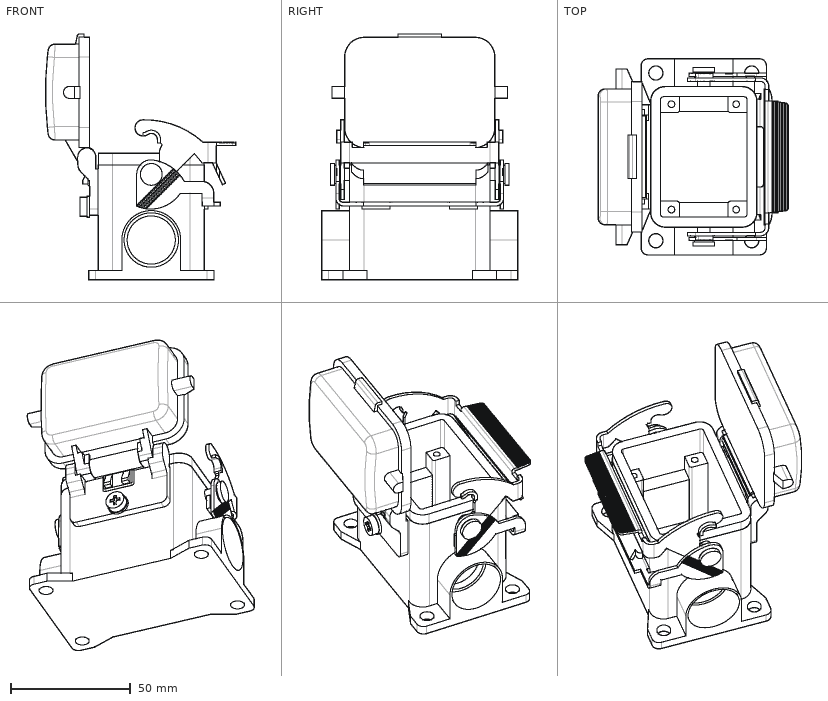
import cadquery as cq
import math

base_length, base_width, base_thickness = 52.4, 82.0, 4.0
base_corner_radius = 3.0
foot_outer_y, foot_inner_y = 32.0, 22.1
mount_hole_radius, mount_hole_x, mount_hole_y = 2.9, 20.0, 35.0
housing_half_x, housing_half_y, housing_top = 22.2, 29.4, 52.9
housing_corner_radius = 6.1
rim_bottom, rim_inset = 48.0, 0.12
cavity_half_x, cavity_half_y, cavity_corner_radius = 18.05, 25.1, 1.2
wall_overlap = 1.0
boss_size_x, boss_inner_y, boss_top, boss_corner_radius = 7.9, 18.5, 38.0, 1.0
boss_hole_x, boss_hole_y, boss_hole_radius, boss_hole_depth = 13.5, 22.0, 1.4, 10.0
shelf_inner_y, shelf_top = 19.0, 30.0
port_radius, port_center_z = 12.3, 16.65
port_bore_radius, port_bore_depth = 11.35, 13.3
port_inner_radius, port_inner_depth = 10.05, 17.0

lid_center_z, lid_cap_center_z = 78.27, 78.42
lid_front_x, lid_rim_x, lid_crown_x = -25.75, -30.1, -44.23
lid_rim_height, lid_rim_width, lid_rim_radius = 46.1, 62.8, 8.3
lid_cap_height, lid_cap_width, lid_cap_radius = 40.1, 56.8, 5.6
lid_crown_rise, lid_edge_radius = 1.5, 3.0
lid_pin_radius, lid_pin_center_x, lid_pin_half_length = 2.5, -34.15, 36.7
lid_pin_front_x, lid_pin_taper_x = -29.65, -32.0
tab_half_width, tab_top, tab_front_x, tab_round = 9.1, 102.73, -28.0, 1.2
tab_thickness, tab_lean = 3.0, 0.7

bracket_x, bracket_bottom, bracket_top = -25.7, 26.9, 46.35
bracket_half_width, bracket_corner_radius = 21.85, 2.8
arm_radius, hinge_x, hinge_z = 3.8, -26.9, 51.3
arm_inner_y, arm_foot_inner_y, arm_foot_bottom = 17.5, 15.2, 40.0
arm_foot_top, arm_step_y, arm_step_drop = 47.2, 19.7, 0.7
arm_back_bend_z, arm_slope_top, arm_slope_bottom = 48.3, 45.0, 42.2
arm_slope_angle = math.radians(45)
lug_reach, lug_toe = 5.85, 1.3
lug_outer_y, lug_step_y, lug_inner_y = 17.0, 15.0, 11.0
lug_notch_y, lug_notch_x, lug_notch_bottom = 13.0, -31.65, 50.9
lug_front_x, lug_bottom, lug_step_z, lug_slope_end = -24.4, 47.3, 55.5, 49.3
barrel_radius, hinge_pin_radius = 4.0, 2.9
pad_half_width, pad_bottom, pad_x, pad_radius, pad_chamfer = 7.05, 39.0, -26.5, 1.2, 0.7
catch_inner_y, catch_outer_y = 2.5, 5.5
catch_tip_x, catch_bottom, catch_top = -28.7, 40.0, 46.3
catch_ramp_z = 41.3
screw_z, screw_head_radius, screw_head_x = 30.55, 4.05, -29.8
washer_radius, washer_x = 4.4, -26.8
recess_length, recess_width, recess_depth = 4.4, 1.2, 1.2

pivot_z, pivot_radius = 44.05, 2.6
pivot_head_radius, pivot_head_inner_y, pivot_head_outer_y = 4.55, 35.5, 37.3
pivot_collar_radius = 3.9
lever_inner_y, lever_outer_y = 31.5, 33.0
lever_top, lever_bottom = 57.5, 48.9
hook_x, hook_z = -3.4, 63.45
notch_radius, notch_z = 2.5, 58.6
lip_thickness, lip_outer_y = 1.4, 34.7
lip_bottom = 57.1
lever_back_arc_point, lever_back_end = (10.7, 64.3), (21.6, lever_top)
lever_notch_x, lever_notch_top = 21.2, (18.0, 52.7)
lever_neck_top, lever_neck_waist, lever_neck_bottom = (4.5, 56.5), (3.4, 54.1), (3.4, 49.1)
lever_toe_left_x, lever_toe_right_x, lever_toe_bottom = -5.5, 3.0, 33.5
lever_toe_left_top, lever_toe_right_top = 40.0, 37.7
cross_outer_x, cross_thickness, cross_bend_radius = 27.2, 1.6, 3.6
handle_tip_x, handle_thickness = 35.35, 1.4
handle_root_half_width, handle_tip_half_width, handle_tip_radius = 23.4, 22.4, 1.6
grip_bend_radius = 1.3
slot_outer_y, slot_depth = 28.1, 2.2
groove_count, groove_pitch, groove_width, groove_depth = 7, 1.0, 0.45, 0.3
first_groove_x = 28.4
leaf_thickness, leaf_root_x, leaf_root_z = 1.5, 25.2, 49.4
leaf_tip_x, leaf_tip_z = 29.7, 39.7
leaf_root_half_width, leaf_half_width, leaf_shoulder_x = 28.4, 23.4, 28.5
leaf_shoulder_arc_x, leaf_shoulder_arc_y = 28.2, 26.0

latch_inner_y, latch_outer_y = 33.6, 35.0
latch_round_radius = 6.1
latch_ledge_top, latch_ledge_bottom = 41.1, 36.1
latch_shoulder_arc_point, latch_shoulder_x = (9.4, 46.3), 13.8
latch_elbow_start_x, latch_elbow_arc_point = 22.1, (24.9, 39.4)
latch_belly_start_x, latch_belly_arc_point, latch_belly_end = 12.1, (7.2, 31.6), (0.8, 29.6)
latch_heel_arc_point = (-2.8, 29.8)
latch_end_x, latch_tail_x, latch_tail_bottom = 26.15, 21.2, 30.8
ridge_count, ridge_pitch, ridge_groove_width, ridge_depth = 4, 1.13, 0.5, 0.4
ridge_offset, ridge_line_z, ridge_angle, ridge_length = 0.25, 37.25, 45, 30.0
bar_thickness, bar_tip_x, bar_tip_half_width = 1.65, 28.8, 23.4
bar_bend_radius, bar_end_overlap = 3.3, 0.5
bar_gap_half_width, bar_gap_x, bar_gap_radius = 12.5, 24.85, 1.0
bar_cutout_y, bar_leg_outer_y = 26.4, 24.1
bar_leg_x, bar_leg_bottom, bar_leg_radius = 23.75, 29.5, 1.3


def span(x0, x1, y0, y1, z0, z1):
    """Box between opposite corners."""
    return cq.Workplane("XY").box(x1 - x0, y1 - y0, z1 - z0, centered=False).translate((x0, y0, z0))


def sketch_at_y(y):
    """XZ workplane at a given Y."""
    return cq.Workplane("XZ", origin=(0, y, 0))


def rod_along_y(x, z, radius, y0, y1):
    return sketch_at_y(y0).center(x, z).circle(radius).extrude(y0 - y1)


def rod_along_x(z, radius, x0, x1):
    return cq.Workplane("YZ", origin=(x0, 0, z)).circle(radius).extrude(x1 - x0)


def rounded_block_yz(x0, x1, width, height, radius, center_z):
    """Block along X with rounded corners in the YZ plane."""
    block = cq.Workplane("YZ", origin=(x0, 0, center_z)).rect(width, height).extrude(x1 - x0)
    return block.edges("|X").fillet(radius)


def on_both_sides(shape):
    return shape.union(shape.mirror("XZ"))


def base_flange():
    half_x = base_length / 2
    flange = cq.Workplane("XY").rect(base_length, base_width).extrude(base_thickness)
    flange = flange.edges("|Z").fillet(base_corner_radius)
    for side in (-1, 1):
        waist = (
            cq.Workplane("XY")
            .polyline([
                (side * half_x, -foot_outer_y),
                (side * housing_half_x, -foot_inner_y),
                (side * housing_half_x, foot_inner_y),
                (side * half_x, foot_outer_y),
            ])
            .close()
            .extrude(base_thickness)
        )
        flange = flange.cut(waist)
    holes = (
        cq.Workplane("XY")
        .rect(2 * mount_hole_x, 2 * mount_hole_y, forConstruction=True)
        .vertices()
        .circle(mount_hole_radius)
        .extrude(base_thickness)
    )
    return flange.cut(holes)


def housing_prism(inset, z0, z1):
    prism = cq.Workplane("XY", origin=(0, 0, z0)).rect(
        2 * (housing_half_x - inset), 2 * (housing_half_y - inset)
    )
    return prism.extrude(z1 - z0).edges("|Z").fillet(housing_corner_radius - inset)


def corner_boss():
    """Insert mounting boss in one cavity corner, with its screw hole."""
    inner_x = cavity_half_x - boss_size_x
    boss = span(
        inner_x, cavity_half_x + wall_overlap, boss_inner_y, cavity_half_y + wall_overlap,
        base_thickness, boss_top,
    )
    boss = boss.edges("|Z and <X and <Y").fillet(boss_corner_radius)
    hole = (
        cq.Workplane("XY", origin=(boss_hole_x, boss_hole_y, boss_top))
        .circle(boss_hole_radius)
        .extrude(-boss_hole_depth)
    )
    return boss.cut(hole)


def cavity():
    depth = housing_top - base_thickness
    pocket = cq.Workplane("XY", origin=(0, 0, base_thickness)).rect(2 * cavity_half_x, 2 * cavity_half_y)
    pocket = pocket.extrude(depth).edges("|Z").fillet(cavity_corner_radius)
    boss = corner_boss()
    bosses = on_both_sides(boss.union(boss.mirror("YZ")))
    shelf_half_x = cavity_half_x - boss_size_x
    shelf = span(
        -shelf_half_x, shelf_half_x, shelf_inner_y, cavity_half_y + wall_overlap,
        base_thickness, shelf_top,
    )
    return pocket.cut(bosses).cut(on_both_sides(shelf))


def cable_ports():
    ports = rod_along_y(0, port_center_z, port_radius, -base_width / 2, base_width / 2)
    foot = span(-port_radius, port_radius, -base_width / 2, base_width / 2, 0, port_center_z)
    return ports.union(foot)


def port_bores():
    mouth_y = base_width / 2
    bore = rod_along_y(0, port_center_z, port_bore_radius, mouth_y - port_bore_depth, mouth_y)
    inner = rod_along_y(0, port_center_z, port_inner_radius, mouth_y - port_inner_depth, mouth_y)
    return on_both_sides(bore.union(inner))


def housing():
    body = housing_prism(0, 0, rim_bottom).union(housing_prism(rim_inset, rim_bottom, housing_top))
    body = body.union(base_flange()).union(cable_ports())
    return body.cut(cavity()).cut(port_bores())


def lid_cap():
    """Cap with a crowned outer face and a rounded edge."""
    cap = rounded_block_yz(
        lid_crown_x, lid_rim_x, lid_cap_width, lid_cap_height, lid_cap_radius, lid_cap_center_z
    )
    half_height = lid_cap_height / 2
    crown = (
        sketch_at_y(lid_cap_width / 2)
        .moveTo(lid_rim_x, lid_cap_center_z - half_height)
        .lineTo(lid_crown_x + lid_crown_rise, lid_cap_center_z - half_height)
        .threePointArc(
            (lid_crown_x, lid_cap_center_z),
            (lid_crown_x + lid_crown_rise, lid_cap_center_z + half_height),
        )
        .lineTo(lid_rim_x, lid_cap_center_z + half_height)
        .close()
        .extrude(lid_cap_width)
    )
    return cap.intersect(crown).faces("<X").edges().fillet(lid_edge_radius)


def lid_pins():
    """Locking pins through the lid, tapered at the ends towards the rim."""
    pins = rod_along_y(
        lid_pin_center_x, lid_center_z, lid_pin_radius, -lid_pin_half_length, lid_pin_half_length
    )
    pins = pins.union(span(
        lid_pin_center_x, lid_pin_front_x, -lid_pin_half_length, lid_pin_half_length,
        lid_center_z - lid_pin_radius, lid_center_z + lid_pin_radius,
    ))
    taper = (
        cq.Workplane("XY", origin=(0, 0, lid_center_z - lid_pin_radius))
        .polyline([
            (lid_pin_taper_x, lid_pin_half_length),
            (lid_pin_front_x, lid_pin_half_length),
            (lid_pin_front_x, lid_rim_width / 2),
        ])
        .close()
        .extrude(2 * lid_pin_radius)
    )
    return pins.cut(on_both_sides(taper))


def lid_tab():
    """Finger tab on the upper edge of the lid."""
    cap_top = lid_cap_center_z + lid_cap_height / 2
    rim_top = lid_center_z + lid_rim_height / 2
    tab_back_x = tab_front_x - tab_thickness
    tab = (
        sketch_at_y(tab_half_width)
        .moveTo(tab_back_x - tab_lean, cap_top)
        .lineTo(tab_back_x, tab_top - tab_round)
        .radiusArc((tab_back_x + tab_round, tab_top), tab_round)
        .lineTo(tab_front_x, tab_top)
        .lineTo(tab_front_x, rim_top)
        .lineTo(lid_rim_x, cap_top)
        .close()
    )
    return tab.extrude(2 * tab_half_width)


def lid_lug():
    """Hinge lug below the lid, with a step cut on its inner side."""
    cap_bottom = lid_cap_center_z - lid_cap_height / 2
    rim_bottom_z = lid_center_z - lid_rim_height / 2
    lug = (
        sketch_at_y(lug_outer_y)
        .polyline([
            (lid_rim_x - lug_reach, cap_bottom),
            (hinge_x - arm_radius, lug_slope_end),
            (hinge_x - arm_radius + lug_toe, lug_bottom),
            (lug_front_x, lug_bottom),
            (lug_front_x, hinge_z),
            (lid_front_x, rim_bottom_z),
            (lid_rim_x, cap_bottom),
        ])
        .close()
        .extrude(lug_outer_y - lug_inner_y)
    )
    tip_x = lid_rim_x - lug_reach
    step = span(tip_x, lid_rim_x, lug_inner_y, lug_step_y, lug_step_z, cap_bottom)
    notch = span(tip_x, lug_notch_x, lug_inner_y, lug_notch_y, lug_notch_bottom, cap_bottom)
    return lug.cut(step).cut(notch)


def lid():
    rim = rounded_block_yz(
        lid_rim_x, lid_front_x, lid_rim_width, lid_rim_height, lid_rim_radius, lid_center_z
    )
    barrel = rod_along_y(hinge_x, hinge_z, barrel_radius, -lug_outer_y, lug_outer_y)
    web = span(
        lid_rim_x, lid_front_x, -lug_outer_y, lug_outer_y,
        hinge_z, lid_center_z - lid_rim_height / 2,
    )
    clearance = span(
        lug_front_x, lug_front_x + barrel_radius, -lug_outer_y, lug_outer_y,
        hinge_z - barrel_radius, hinge_z + barrel_radius,
    )
    pin = rod_along_y(hinge_x, hinge_z, hinge_pin_radius, -bracket_half_width, bracket_half_width)
    hinge = on_both_sides(lid_lug()).union(barrel).union(web).cut(clearance).union(pin)
    return rim.union(lid_cap()).union(lid_pins()).union(lid_tab()).union(hinge)


def bracket_arm():
    """Hinge arm rounded about the hinge axis and sloping back to the bracket plate."""
    back_x, front_x = hinge_x - arm_radius, hinge_x + arm_radius
    back_radius = (arm_back_bend_z - arm_slope_top) / math.sin(arm_slope_angle)
    foot_radius = (arm_slope_bottom - arm_foot_bottom) / math.sin(arm_slope_angle)
    slope_top_x = back_x + back_radius * (1 - math.cos(arm_slope_angle))
    slope_bottom_x = bracket_x - foot_radius * (1 - math.cos(arm_slope_angle))
    arm = (
        sketch_at_y(bracket_half_width)
        .moveTo(back_x, hinge_z)
        .threePointArc((hinge_x, hinge_z + arm_radius), (front_x, hinge_z))
        .lineTo(front_x, arm_foot_bottom)
        .lineTo(bracket_x, arm_foot_bottom)
        .radiusArc((slope_bottom_x, arm_slope_bottom), -foot_radius)
        .lineTo(slope_top_x, arm_slope_top)
        .radiusArc((back_x, arm_back_bend_z), back_radius)
        .close()
        .extrude(bracket_half_width - arm_foot_inner_y)
    )
    arm_top = hinge_z + arm_radius
    relief = span(back_x, front_x, arm_foot_inner_y, arm_inner_y, arm_foot_top, arm_top)
    step = span(back_x, front_x, arm_inner_y, arm_step_y, arm_top - arm_step_drop, arm_top)
    return arm.cut(relief).cut(step)


def catch():
    """One of the two ramped catches on the bracket pad."""
    profile = (
        sketch_at_y(catch_outer_y)
        .polyline([
            (-housing_half_x, catch_bottom),
            (catch_tip_x, catch_bottom),
            (catch_tip_x, catch_ramp_z),
            (pad_x, catch_top),
            (-housing_half_x, catch_top),
        ])
        .close()
    )
    return profile.extrude(catch_outer_y - catch_inner_y)


def bracket():
    plate = span(
        bracket_x, -housing_half_x, -bracket_half_width, bracket_half_width, bracket_bottom, bracket_top
    )
    plate = plate.edges("|X and <Z").fillet(bracket_corner_radius)
    pad = span(pad_x, bracket_x, -pad_half_width, pad_half_width, pad_bottom, bracket_top)
    pad = pad.edges("|X and <Z").fillet(pad_radius).faces("<X").edges("not >Z").chamfer(pad_chamfer)
    plate = plate.union(pad)
    screw = rod_along_x(screw_z, washer_radius, washer_x, bracket_x)
    screw = screw.union(rod_along_x(screw_z, screw_head_radius, screw_head_x, bracket_x))
    slots = (
        cq.Workplane("YZ", origin=(screw_head_x, 0, screw_z))
        .rect(recess_length, recess_width)
        .extrude(recess_depth)
        .union(
            cq.Workplane("YZ", origin=(screw_head_x, 0, screw_z))
            .rect(recess_width, recess_length)
            .extrude(recess_depth)
        )
    )
    return plate.union(on_both_sides(bracket_arm().union(catch()))).union(screw.cut(slots))


def pivot():
    pin = rod_along_y(0, pivot_z, pivot_radius, cavity_half_y + wall_overlap, pivot_head_outer_y)
    collar = rod_along_y(0, pivot_z, pivot_collar_radius, lever_outer_y, pivot_head_inner_y)
    head = rod_along_y(0, pivot_z, pivot_head_radius, pivot_head_inner_y, pivot_head_outer_y)
    return pin.union(collar).union(head)


def lever_arm():
    """Side plate of the lever: a hook over the lid pin, tapering to the handle."""
    center_distance = math.hypot(hook_x, hook_z - notch_z)
    hook_radius = center_distance - notch_radius
    toward_hook_x = hook_x / center_distance
    toward_hook_z = (hook_z - notch_z) / center_distance
    touch = (notch_radius * toward_hook_x, notch_z + notch_radius * toward_hook_z)
    lip_edge_x = notch_radius + lip_thickness
    bend_start_x = cross_outer_x - cross_bend_radius
    arm = (
        sketch_at_y(lever_outer_y)
        .moveTo(*touch)
        .threePointArc((hook_x - hook_radius, hook_z), (hook_x, hook_z + hook_radius))
        .threePointArc(lever_back_arc_point, lever_back_end)
        .lineTo(bend_start_x, lever_top)
        .lineTo(bend_start_x, lever_bottom)
        .lineTo(lever_notch_x, lever_bottom)
        .lineTo(*lever_notch_top)
        .lineTo(lever_toe_right_x, lever_toe_right_top)
        .lineTo(lever_toe_right_x, lever_toe_bottom)
        .lineTo(lever_toe_left_x, lever_toe_bottom)
        .lineTo(lever_toe_left_x, lever_toe_left_top)
        .lineTo(0, pivot_z - pivot_radius)
        .lineTo(0, pivot_z + pivot_radius)
        .lineTo(*lever_neck_bottom)
        .lineTo(*lever_neck_waist)
        .lineTo(*lever_neck_top)
        .lineTo(lip_edge_x, lip_bottom)
        .lineTo(notch_radius, lip_bottom)
        .lineTo(notch_radius, notch_z)
        .threePointArc((0, notch_z + notch_radius), touch)
        .close()
        .extrude(lever_outer_y - lever_inner_y)
    )
    return arm.union(hook_lip(touch, hook_radius))


def hook_lip(touch, hook_radius):
    """Lip turned outwards along the lower edge of the hook and its notch."""
    outer_radius = notch_radius + lip_thickness
    hook_inner_radius = hook_radius - lip_thickness
    scale = outer_radius / notch_radius
    outer_touch = (touch[0] * scale, notch_z + (touch[1] - notch_z) * scale)
    lip = (
        sketch_at_y(lip_outer_y)
        .moveTo(notch_radius, lip_bottom)
        .lineTo(notch_radius, notch_z)
        .threePointArc((0, notch_z + notch_radius), touch)
        .radiusArc((hook_x, hook_z - hook_radius), hook_radius)
        .lineTo(hook_x, hook_z - hook_inner_radius)
        .radiusArc(outer_touch, -hook_inner_radius)
        .threePointArc((0, notch_z + outer_radius), (outer_radius, notch_z))
        .lineTo(outer_radius, lip_bottom)
        .close()
    )
    return lip.extrude(lip_outer_y - lever_inner_y)


def handle():
    """Cross plate bent out of the lever arms, with a grooved grip and a slanted leaf."""
    arm_end_x = lever_back_end[0]
    cross = span(
        arm_end_x, cross_outer_x, -lever_outer_y, lever_outer_y, lever_bottom, lever_top
    )
    cross = cross.edges("|Z and >X").fillet(cross_bend_radius)
    inside = span(
        arm_end_x, cross_outer_x - cross_thickness, -lever_inner_y, lever_inner_y,
        lever_bottom, lever_top,
    )
    cross = cross.cut(inside.edges("|Z and >X").fillet(cross_bend_radius - cross_thickness))
    slot = span(
        arm_end_x, cross_outer_x, handle_root_half_width, slot_outer_y,
        lever_top - slot_depth, lever_top,
    )
    cross = cross.cut(on_both_sides(slot)).cut(span(
        arm_end_x, cross_outer_x, -handle_root_half_width, handle_root_half_width,
        lever_top - handle_thickness, lever_top,
    ))
    return cross.union(grip()).union(leaf())


def grip():
    """Finger plate tapering slightly to its tip, grooved across its top."""
    plate = (
        cq.Workplane("XY", origin=(0, 0, lever_top))
        .polyline([
            (cross_outer_x - cross_thickness, -handle_root_half_width),
            (cross_outer_x, -handle_root_half_width),
            (handle_tip_x, -handle_tip_half_width),
            (handle_tip_x, handle_tip_half_width),
            (cross_outer_x, handle_root_half_width),
            (cross_outer_x - cross_thickness, handle_root_half_width),
        ])
        .close()
        .extrude(-handle_thickness)
        .edges("|Z and >X")
        .fillet(handle_tip_radius)
        .edges("|Y and <X and >Z")
        .fillet(grip_bend_radius)
    )
    for index in range(groove_count):
        x = first_groove_x + index * groove_pitch
        plate = plate.cut(span(
            x, x + groove_width, -lever_outer_y, lever_outer_y, lever_top - groove_depth, lever_top
        ))
    return plate


def leaf():
    """Leaf slanting down from the cross plate, with rounded shoulders at its root."""
    run, drop = leaf_tip_x - leaf_root_x, leaf_root_z - leaf_tip_z
    length = math.hypot(run, drop)
    offset_x, offset_z = leaf_thickness * drop / length, leaf_thickness * run / length
    plate = (
        sketch_at_y(leaf_root_half_width)
        .polyline([
            (leaf_root_x, leaf_root_z),
            (leaf_tip_x, leaf_tip_z),
            (leaf_tip_x + offset_x, leaf_tip_z + offset_z),
            (leaf_root_x + offset_x, leaf_root_z + offset_z),
        ])
        .close()
        .extrude(2 * leaf_root_half_width)
    )
    end_x = leaf_tip_x + offset_x
    outline = (
        cq.Workplane("XY", origin=(0, 0, leaf_tip_z))
        .moveTo(leaf_root_x, -leaf_root_half_width)
        .lineTo(cross_outer_x, -leaf_root_half_width)
        .threePointArc((leaf_shoulder_arc_x, -leaf_shoulder_arc_y), (leaf_shoulder_x, -leaf_half_width))
        .lineTo(end_x, -leaf_half_width)
        .lineTo(end_x, leaf_half_width)
        .lineTo(leaf_shoulder_x, leaf_half_width)
        .threePointArc((leaf_shoulder_arc_x, leaf_shoulder_arc_y), (cross_outer_x, leaf_root_half_width))
        .lineTo(leaf_root_x, leaf_root_half_width)
        .close()
        .extrude(drop + offset_z)
    )
    return plate.intersect(outline)


def latch_plate():
    """Outer side plate about the pivot, with an elbowed tail and diagonal grip grooves."""
    left_x = -latch_round_radius
    tail_end_z = latch_tail_bottom + bar_bend_radius
    plate = (
        sketch_at_y(latch_outer_y)
        .moveTo(left_x, latch_tail_bottom)
        .lineTo(left_x, pivot_z)
        .radiusArc((0, pivot_z + latch_round_radius), latch_round_radius)
        .threePointArc(latch_shoulder_arc_point, (latch_shoulder_x, latch_ledge_top))
        .lineTo(latch_elbow_start_x, latch_ledge_top)
        .threePointArc(latch_elbow_arc_point, (latch_end_x, latch_ledge_bottom))
        .lineTo(latch_end_x, tail_end_z)
        .lineTo(latch_tail_x, tail_end_z)
        .lineTo(latch_tail_x, latch_ledge_bottom)
        .lineTo(latch_belly_start_x, latch_ledge_bottom)
        .threePointArc(latch_belly_arc_point, latch_belly_end)
        .threePointArc(latch_heel_arc_point, (left_x, latch_tail_bottom))
        .close()
        .extrude(latch_outer_y - latch_inner_y)
    )
    for index in range(ridge_count):
        shift = ridge_offset + index * ridge_pitch
        groove = (
            sketch_at_y(latch_outer_y)
            .center(0, ridge_line_z)
            .transformed(rotate=(0, 0, ridge_angle))
            .center(0, -shift)
            .rect(ridge_length, ridge_groove_width)
            .extrude(ridge_depth)
        )
        plate = plate.cut(groove)
    return plate


def latch_bar():
    """Bar passing the +X wall and bent up at both ends to meet the latch plates."""
    bar_top = latch_tail_bottom + bar_thickness
    bend_top = latch_tail_bottom + bar_bend_radius + bar_end_overlap
    bar = span(
        latch_tail_x, latch_end_x, -latch_outer_y, latch_outer_y, latch_tail_bottom, bend_top
    )
    bar = bar.edges("|X and <Z").fillet(bar_bend_radius)
    inside = span(
        latch_tail_x, latch_end_x, -latch_inner_y, latch_inner_y, bar_top, bend_top
    )
    bar = bar.cut(inside.edges("|X and <Z").fillet(bar_bend_radius - bar_thickness))
    bar = bar.union(span(
        latch_tail_x, bar_tip_x, -bar_tip_half_width, bar_tip_half_width, latch_tail_bottom, bar_top
    ))
    cutout = span(
        latch_tail_x, bar_leg_x, -bar_cutout_y, bar_cutout_y, latch_tail_bottom, bar_top
    )
    leg = span(
        housing_half_x, bar_leg_x, bar_gap_half_width, bar_leg_outer_y, bar_leg_bottom, bar_top
    )
    leg = leg.edges("|Y and <X and >Z").fillet(bar_leg_radius)
    gap = span(
        bar_leg_x, bar_gap_x, -bar_gap_half_width, bar_gap_half_width, latch_tail_bottom, bar_top
    )
    gap = gap.edges("|Z and >X").fillet(bar_gap_radius)
    room = housing_prism(0, latch_tail_bottom, bend_top)
    return bar.cut(cutout).union(on_both_sides(leg)).cut(gap).cut(room)


def lever():
    sides = on_both_sides(pivot().union(lever_arm()).union(latch_plate()))
    return sides.union(handle()).union(latch_bar())


result = housing().union(bracket()).union(lid()).union(lever())